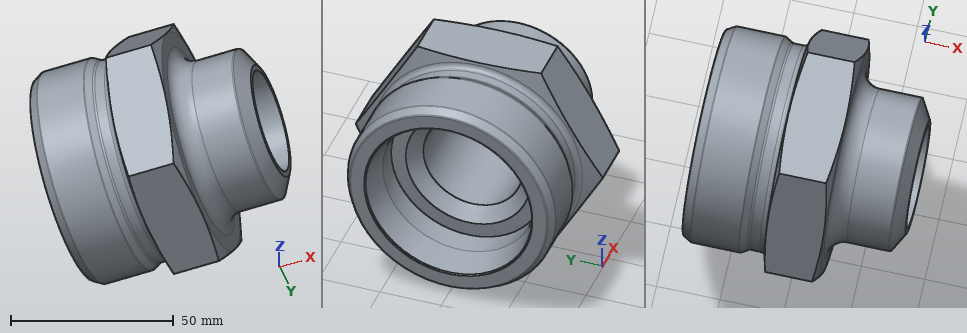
import cadquery as cq
import math

total_length = 67.0
hex_across_corners = 80.8
hex_across_flats = hex_across_corners * math.cos(math.radians(30))

thread_radius = 68.0 / 2
thread_chamfer_length = 2.9
thread_end = 18.2
undercut_radius = 64.9 / 2
undercut_slope = math.radians(30)
undercut_blend_radius = 1.45
undercut_fillet_radius = 1.8

hex_start = 26.2
hex_end = 44.05
hex_chamfer_slope = math.radians(15)
hex_chamfer_end_radius = hex_across_corners / 2 + 0.8

spigot_radius = 48.3 / 2
spigot_fillet_radius = 5.9
spigot_chamfer_length = 3.6
spigot_chamfer_slope = math.radians(60)

edge_rounding = 0.5

through_radius = 32.3 / 2
socket_radius = 50.3 / 2
socket_depth = 17.8
seat_slope = math.radians(12)
seat_mouth_radius = 27.15
mouth_chamfer = 0.4
throat_radius = 20.4


def revolve_about_x(profile):
    """Revolve a closed (X, radius) profile a full turn about the X axis."""
    return profile.close().revolve(360, (0, 0, 0), (1, 0, 0))


def turned_body():
    """Solid of revolution whose middle is large enough to hold the hexagon."""
    thread_mouth_radius = thread_radius - thread_chamfer_length * math.tan(undercut_slope)
    undercut_drop = thread_radius - undercut_radius
    undercut_corner = thread_end + undercut_drop / math.tan(undercut_slope)
    blend_setback = undercut_blend_radius * math.tan(undercut_slope / 2)
    blend_start = (
        undercut_corner - blend_setback * math.cos(undercut_slope),
        undercut_radius + blend_setback * math.sin(undercut_slope),
    )
    collar_radius = undercut_radius + undercut_fillet_radius
    shoulder_radius = spigot_radius + spigot_fillet_radius
    hex_flat_radius = hex_across_flats / 2
    front_chamfer_run = (hex_chamfer_end_radius - collar_radius) * math.tan(hex_chamfer_slope)
    back_chamfer_run = (hex_chamfer_end_radius - hex_flat_radius) * math.tan(hex_chamfer_slope)
    spigot_tip_radius = spigot_radius - spigot_chamfer_length * math.tan(spigot_chamfer_slope)

    profile = (
        cq.Workplane("XY")
        .lineTo(0, thread_mouth_radius)
        .lineTo(thread_chamfer_length, thread_radius)
        .lineTo(thread_end, thread_radius)
        .lineTo(*blend_start)
        .tangentArcPoint((undercut_corner + blend_setback, undercut_radius), relative=False)
        .lineTo(hex_start - undercut_fillet_radius, undercut_radius)
        .radiusArc((hex_start, collar_radius), -undercut_fillet_radius)
        .lineTo(hex_start + front_chamfer_run, hex_chamfer_end_radius)
        .lineTo(hex_end - back_chamfer_run, hex_chamfer_end_radius)
        .lineTo(hex_end, hex_flat_radius)
        .lineTo(hex_end, shoulder_radius)
        .radiusArc((hex_end + spigot_fillet_radius, spigot_radius), -spigot_fillet_radius)
        .lineTo(total_length - spigot_chamfer_length, spigot_radius)
        .lineTo(total_length, spigot_tip_radius)
        .lineTo(total_length, 0)
    )
    return revolve_about_x(profile)


def round_outer_edges(body):
    """Round both ends of the thread, its chamfered rim and the spigot shoulder."""
    edge_positions = (0, thread_chamfer_length, thread_end, total_length - spigot_chamfer_length)
    tolerance = 0.01

    def is_sharp_rim(edge):
        return any(abs(edge.Center().x - x) < tolerance for x in edge_positions)

    return body.edges("%CIRCLE").filter(is_sharp_rim).fillet(edge_rounding)


def hexagonal_envelope():
    """Full-length hexagonal prism with its corners on the Y axis."""
    return cq.Workplane("YZ").polygon(6, hex_across_corners).extrude(total_length)


def stepped_bore():
    """Conical seat, cylindrical socket, 45 degree throat and through hole."""
    seat_end = mouth_chamfer + (seat_mouth_radius - socket_radius) / math.tan(seat_slope)
    throat_end = socket_depth + throat_radius - through_radius
    profile = (
        cq.Workplane("XY")
        .lineTo(0, seat_mouth_radius + mouth_chamfer)
        .lineTo(mouth_chamfer, seat_mouth_radius)
        .lineTo(seat_end, socket_radius)
        .lineTo(socket_depth, socket_radius)
        .lineTo(socket_depth, throat_radius)
        .lineTo(throat_end, through_radius)
        .lineTo(total_length, through_radius)
        .lineTo(total_length, 0)
    )
    return revolve_about_x(profile)


rounded_body = round_outer_edges(turned_body())
result = rounded_body.intersect(hexagonal_envelope()).cut(stepped_bore())